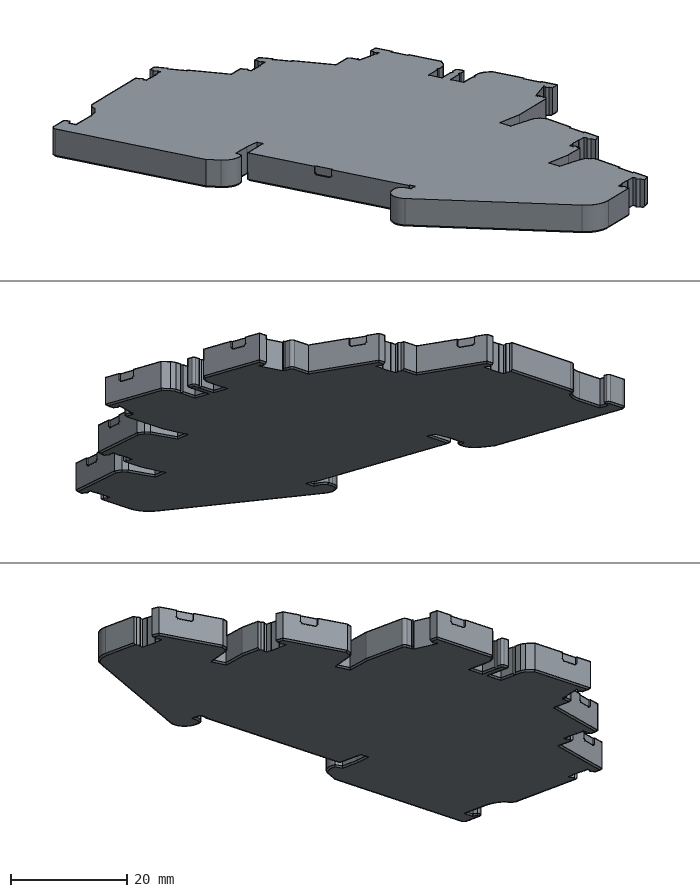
import cadquery as cq
import math

THICKNESS = 5.15
HEIGHT = 62.11
EDGE_CHAMFER = 0.3
RAMP_DEGREES = 15.0
RAMP_TAN = math.tan(math.radians(RAMP_DEGREES))

AXIS_X = 46.56
TOWER_HALF = 19.8
POST_OUTER_HALF = 18.1
POST_INNER_HALF = 3.5
POST_CORNER = ((5.0, 0.0), (3.85, 1.2), (POST_INNER_HALF, 2.1))
POST_LEDGE_DROP = 6.4
LEDGE_ROUND = 0.6
PIN_HALF = 0.85
PIN_TOP_DROP = 2.0
PIN_CORNER = 0.4
SLOT_DEPTH = 7.0
SNAP_GROOVE_DROP = 3.65
SNAP_GROOVE_RADIUS = 0.25

LEFT_PITCH = 13.25
LEFT_TIP_X = AXIS_X - TOWER_HALF - 2 * LEFT_PITCH
LEFT_TIP_Y = 34.95
LEFT_RISE = 13.05
RIGHT_PITCH = 17.2
RIGHT_TIP_X = AXIS_X + TOWER_HALF + 2 * RIGHT_PITCH
RIGHT_TIP_Y = 30.7
RIGHT_RISE = 12.85
LIP_BULGE = 0.27

SLOT_WALL_TOP = (-RIGHT_PITCH, 2.5)
SLOT_FLOOR_IN = (-18.15, -2.55)
SLOT_FLOOR_OUT = (-15.7, -3.05)
SHOULDER_LOW = (-14.15, 2.0)
SHOULDER_MID = (-13.4, 2.8)
SHOULDER_RUN = 12.1

LIP_THICKNESS = 1.5
POST_LIP_THICKNESS = 1.75
NOTCH_LEDGE_DROP = 6.3
NOTCH_DEPTH = 2.05
NOTCH_OVERRUN = 3.0
POST_NOTCH_TOP_DEPTH = 1.75
POST_NOTCH_BOTTOM_DEPTH = 0.6
WALL_RECESS_DROP = 4.2
WALL_RECESS_WIDTH = 2.0
WALL_RECESS_DEPTH = 0.1
NUB_OFFSET = 1.05
NUB_HALF = 0.4
NUB_HEIGHT = 0.3

FOOT_FILLET = 0.9
FOOT_HOOK_TOP = 4.55
FOOT_HOOK_WIDTH = 1.1
FOOT_HOOK_ROUND = 0.5
FOOT_POCKET_FLOOR = 3.7
FOOT_POCKET_X = 2.85
WAIST_BOTTOM = 8.9
WAIST_BEND = (2.4, 10.95)
WAIST_MIDDLE = (1.75, 12.1)
WAIST_TOP = 13.9
TOE_CENTRE = (31.86, 4.1)
TOE_RADIUS = 3.3
TOE_TIP_ANGLE = math.radians(14.0)
CLIP_SLOT_LOW = (33.7, 5.35)
CLIP_SLOT_MID = (33.75, 9.0)
CLIP_SLOT_LEFT = 34.1
CLIP_SLOT_RIGHT = 35.35
CLIP_SLOT_TOP = 11.75

SEAT_Y = 6.45
SEAT_RELIEF_X = 67.4
SEAT_RELIEF_END = 68.5
SEAT_RELIEF_TOP = 6.7
HOOK_THROAT_X = 68.0
HOOK_THROAT_Y = 5.3
HOOK_LIP_BULGE = (66.8, 4.95)
HOOK_LIP_X = 66.05
HOOK_LIP_Y = 4.2
HOOK_RADIUS = 2.85
FLANK_ANGLE = math.radians(24.0)
FLANK_NORMAL = FLANK_ANGLE - math.pi / 2
FLANK_RADIUS = 4.7
HOOK_CENTRE_Y = 3.2
HOOK_CENTRE = (HOOK_LIP_X + HOOK_RADIUS, HOOK_CENTRE_Y)

MARK_WIDTH = 3.4
MARK_HEIGHT = 1.5
MARK_DEPTH = 0.3
MARK_CORNER = 0.35
SEAT_MARK_X = 50.3
POST_MARK_HALF = 13.15
LEFT_MARK_RUN = 4.0
RIGHT_MARK_RUN = 4.9


def offset(point, delta):
    return (point[0] + delta[0], point[1] + delta[1])


def around(centre, radius, angle):
    return (centre[0] + radius * math.cos(angle), centre[1] + radius * math.sin(angle))


def left_side(path):
    """Foot hook, waist and terraces, climbing to the tower."""
    waist_run = WAIST_MIDDLE[0] - LEFT_TIP_X
    waist_rise = WAIST_TOP - WAIST_MIDDLE[1]
    waist_upper_radius = (waist_run**2 + waist_rise**2) / (2 * waist_run)
    toe_bevel_end = around(TOE_CENTRE, TOE_RADIUS, FLANK_NORMAL)
    path = (
        path.moveTo(toe_bevel_end[0] - toe_bevel_end[1] / math.tan(FLANK_ANGLE), 0)
        .lineTo(FOOT_FILLET, 0)
        .radiusArc((0, FOOT_FILLET), FOOT_FILLET)
        .lineTo(0, FOOT_HOOK_TOP - FOOT_HOOK_ROUND)
        .radiusArc((FOOT_HOOK_ROUND, FOOT_HOOK_TOP), FOOT_HOOK_ROUND)
        .lineTo(FOOT_HOOK_WIDTH, FOOT_HOOK_TOP)
        .lineTo(FOOT_HOOK_WIDTH + NUB_HEIGHT, FOOT_POCKET_FLOOR)
        .lineTo(FOOT_POCKET_X, FOOT_POCKET_FLOOR)
        .lineTo(FOOT_POCKET_X, WAIST_BOTTOM)
        .tangentArcPoint(WAIST_BEND, relative=False)
        .lineTo(*WAIST_MIDDLE)
        .radiusArc((LEFT_TIP_X, WAIST_TOP), waist_upper_radius)
    )
    for step in range(2):
        tip_x = LEFT_TIP_X + step * LEFT_PITCH
        tip_y = LEFT_TIP_Y + step * LEFT_RISE
        path = (
            path.lineTo(tip_x, tip_y)
            .lineTo(tip_x + LEFT_PITCH, tip_y + LEFT_PITCH * RAMP_TAN)
        )
    return path


def tower_top(path):
    """Two rounded posts and the pin standing in the slot between them."""
    ledge_y = HEIGHT - POST_LEDGE_DROP
    slot_y = HEIGHT - SLOT_DEPTH
    pin_y = HEIGHT - PIN_TOP_DROP
    path = (
        path.lineTo(AXIS_X - TOWER_HALF, ledge_y - LEDGE_ROUND)
        .radiusArc((AXIS_X - TOWER_HALF + LEDGE_ROUND, ledge_y), LEDGE_ROUND)
        .lineTo(AXIS_X - POST_OUTER_HALF, ledge_y)
        .lineTo(AXIS_X - POST_OUTER_HALF, HEIGHT)
    )
    for half, drop in POST_CORNER:
        path = path.lineTo(AXIS_X - half, HEIGHT - drop)
    path = (
        path.lineTo(AXIS_X - POST_INNER_HALF, slot_y)
        .lineTo(AXIS_X - PIN_HALF, slot_y)
        .lineTo(AXIS_X - PIN_HALF, pin_y - PIN_CORNER)
        .radiusArc((AXIS_X - PIN_HALF + PIN_CORNER, pin_y), PIN_CORNER)
        .lineTo(AXIS_X + PIN_HALF - PIN_CORNER, pin_y)
        .radiusArc((AXIS_X + PIN_HALF, pin_y - PIN_CORNER), PIN_CORNER)
        .lineTo(AXIS_X + PIN_HALF, slot_y)
        .lineTo(AXIS_X + POST_INNER_HALF, slot_y)
    )
    for half, drop in reversed(POST_CORNER):
        path = path.lineTo(AXIS_X + half, HEIGHT - drop)
    return (
        path.lineTo(AXIS_X + POST_OUTER_HALF, HEIGHT)
        .lineTo(AXIS_X + POST_OUTER_HALF, ledge_y)
        .lineTo(AXIS_X + TOWER_HALF - LEDGE_ROUND, ledge_y)
        .radiusArc((AXIS_X + TOWER_HALF, ledge_y - LEDGE_ROUND), LEDGE_ROUND)
    )


def right_side(path):
    """Terraces with slanted slots, descending to the flank."""
    for step in (1, 0):
        tip = (RIGHT_TIP_X - step * RIGHT_PITCH, RIGHT_TIP_Y + step * RIGHT_RISE)
        path = (
            path.lineTo(*offset(tip, SLOT_WALL_TOP))
            .lineTo(*offset(tip, SLOT_FLOOR_IN))
            .lineTo(*offset(tip, SLOT_FLOOR_OUT))
            .lineTo(*offset(tip, SHOULDER_LOW))
            .lineTo(*offset(tip, SHOULDER_MID))
            .lineTo(tip[0] - SHOULDER_RUN, tip[1] + SHOULDER_RUN * RAMP_TAN)
            .lineTo(*tip)
            .lineTo(tip[0] + LIP_BULGE, tip[1] - LIP_THICKNESS)
            .lineTo(tip[0], tip[1] - NOTCH_LEDGE_DROP)
        )
    return path


def underside(path):
    """Sloped flank, rounded hook, rail seat, clip slot and foot toe."""
    hook_end = around(HOOK_CENTRE, HOOK_RADIUS, FLANK_NORMAL)
    corner_x = RIGHT_TIP_X - FLANK_RADIUS
    flank_x = corner_x + FLANK_RADIUS * math.cos(FLANK_NORMAL)
    flank_y = hook_end[1] + (flank_x - hook_end[0]) * math.tan(FLANK_ANGLE)
    corner_y = flank_y - FLANK_RADIUS * math.sin(FLANK_NORMAL)
    return (
        path.lineTo(RIGHT_TIP_X, corner_y)
        .threePointArc(
            around((corner_x, corner_y), FLANK_RADIUS, FLANK_NORMAL / 2),
            (flank_x, flank_y),
        )
        .lineTo(*hook_end)
        .threePointArc(
            around(HOOK_CENTRE, HOOK_RADIUS, (FLANK_NORMAL - math.pi) / 2),
            (HOOK_LIP_X, HOOK_CENTRE[1]),
        )
        .lineTo(HOOK_LIP_X, HOOK_LIP_Y)
        .threePointArc(HOOK_LIP_BULGE, (HOOK_THROAT_X, HOOK_THROAT_Y))
        .lineTo(SEAT_RELIEF_END, HOOK_THROAT_Y)
        .lineTo(SEAT_RELIEF_END, SEAT_RELIEF_TOP)
        .lineTo(SEAT_RELIEF_X, SEAT_RELIEF_TOP)
        .lineTo(SEAT_RELIEF_X, SEAT_Y)
        .lineTo(CLIP_SLOT_RIGHT, SEAT_Y)
        .lineTo(CLIP_SLOT_RIGHT, CLIP_SLOT_TOP)
        .lineTo(CLIP_SLOT_LEFT, CLIP_SLOT_TOP)
        .lineTo(*CLIP_SLOT_MID)
        .lineTo(*CLIP_SLOT_LOW)
        .lineTo(*around(TOE_CENTRE, TOE_RADIUS, TOE_TIP_ANGLE))
        .threePointArc(
            around(TOE_CENTRE, TOE_RADIUS, (TOE_TIP_ANGLE + FLANK_NORMAL) / 2),
            around(TOE_CENTRE, TOE_RADIUS, FLANK_NORMAL),
        )
        .close()
    )


def notch(tip_x, tip_y, side, lip, ledge_drop, depth_top, depth_bottom):
    """Cutter for the notch under a lip; side is -1 (opens to -X) or +1 (opens to +X)."""
    lip_y = tip_y - lip
    ledge_y = tip_y - ledge_drop
    ledge_nub = depth_bottom - depth_top + NUB_OFFSET

    def at(inset, y):
        return (tip_x - side * inset, y)

    return (
        cq.Workplane("XY")
        .moveTo(*at(-NOTCH_OVERRUN, lip_y))
        .lineTo(*at(NUB_OFFSET - NUB_HALF, lip_y))
        .threePointArc(at(NUB_OFFSET, lip_y - NUB_HEIGHT), at(NUB_OFFSET + NUB_HALF, lip_y))
        .lineTo(*at(depth_top, lip_y))
        .lineTo(*at(depth_bottom, ledge_y))
        .lineTo(*at(ledge_nub + NUB_HALF, ledge_y))
        .threePointArc(at(ledge_nub, ledge_y + NUB_HEIGHT), at(ledge_nub - NUB_HALF, ledge_y))
        .lineTo(*at(-NOTCH_OVERRUN, ledge_y))
        .close()
        .extrude(THICKNESS)
    )


def cut_notches(body):
    terrace_size = (LIP_THICKNESS, NOTCH_LEDGE_DROP, NOTCH_DEPTH, NOTCH_DEPTH)
    post_size = (POST_LIP_THICKNESS, POST_LEDGE_DROP, POST_NOTCH_TOP_DEPTH, POST_NOTCH_BOTTOM_DEPTH)
    for step in range(2):
        left = (LEFT_TIP_X + step * LEFT_PITCH, LEFT_TIP_Y + step * LEFT_RISE)
        right = (RIGHT_TIP_X - step * RIGHT_PITCH, RIGHT_TIP_Y + step * RIGHT_RISE)
        body = body.cut(notch(*left, -1, *terrace_size))
        body = body.cut(notch(*right, 1, *terrace_size))
    for side in (-1, 1):
        body = body.cut(notch(AXIS_X + side * POST_OUTER_HALF, HEIGHT, side, *post_size))
    return body


def cut_wall_recesses(body):
    """Shallow full-height recess in the middle of each terrace notch wall."""
    for step in range(2):
        left_x = LEFT_TIP_X + step * LEFT_PITCH + NOTCH_DEPTH
        left_y = LEFT_TIP_Y + step * LEFT_RISE - WALL_RECESS_DROP
        right_x = RIGHT_TIP_X - step * RIGHT_PITCH - NOTCH_DEPTH
        right_y = RIGHT_TIP_Y + step * RIGHT_RISE - WALL_RECESS_DROP
        for x, y in ((left_x, left_y), (right_x, right_y)):
            recess = cq.Workplane("XY").center(x, y).rect(2 * WALL_RECESS_DEPTH, WALL_RECESS_WIDTH)
            body = body.cut(recess.extrude(THICKNESS))
    return body


def cut_snap_grooves(body):
    """Small round grooves facing each other across the post slots."""
    groove_y = HEIGHT - SNAP_GROOVE_DROP
    for half in (-POST_INNER_HALF, -PIN_HALF, PIN_HALF, POST_INNER_HALF):
        groove = cq.Workplane("XY").center(AXIS_X + half, groove_y).circle(SNAP_GROOVE_RADIUS)
        body = body.cut(groove.extrude(THICKNESS))
    return body


def marker_recess(x, y, tilt):
    """Shallow recess centred at a rim point; tilt turns its outward +Y direction about Z."""
    block = (
        cq.Workplane("XY")
        .box(MARK_WIDTH, 2 * MARK_DEPTH, 2 * MARK_HEIGHT)
        .edges("|Y and <Z")
        .chamfer(MARK_CORNER)
    )
    return block.rotate((0, 0, 0), (0, 0, 1), tilt).translate((x, y, THICKNESS))


def cut_marker_recesses(body):
    places = [(SEAT_MARK_X, SEAT_Y, 0)]
    for side in (-1, 1):
        places.append((AXIS_X + side * POST_MARK_HALF, HEIGHT, 0))
    for step in range(2):
        left_x = LEFT_TIP_X + step * LEFT_PITCH + LEFT_MARK_RUN
        left_y = LEFT_TIP_Y + step * LEFT_RISE + LEFT_MARK_RUN * RAMP_TAN
        places.append((left_x, left_y, RAMP_DEGREES))
        right_x = RIGHT_TIP_X - step * RIGHT_PITCH - RIGHT_MARK_RUN
        right_y = RIGHT_TIP_Y + step * RIGHT_RISE + RIGHT_MARK_RUN * RAMP_TAN
        places.append((right_x, right_y, -RAMP_DEGREES))
    for place in places:
        body = body.cut(marker_recess(*place))
    return body


outline = underside(right_side(tower_top(left_side(cq.Workplane("XY")))))
plate = outline.extrude(THICKNESS).faces("<Z").edges().chamfer(EDGE_CHAMFER)
plate = cut_notches(plate)
plate = cut_wall_recesses(plate)
plate = cut_snap_grooves(plate)
result = cut_marker_recesses(plate)